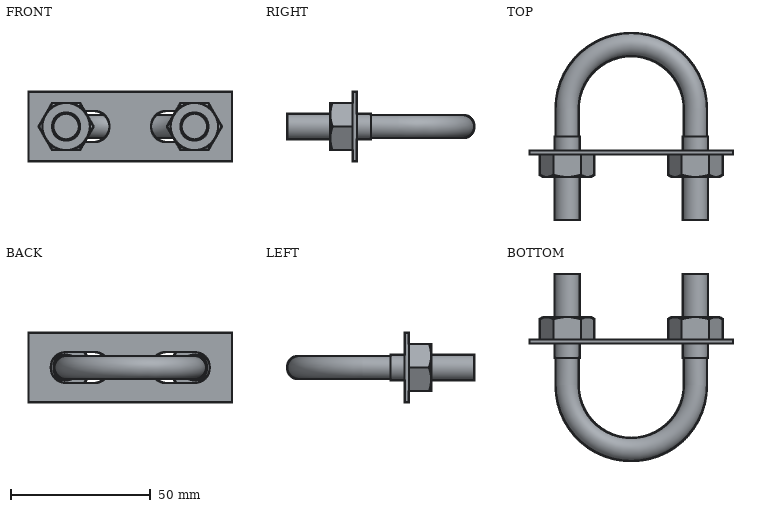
import cadquery as cq
import math

PLATE_LENGTH = 73.0
PLATE_HEIGHT = 25.0
PLATE_THICKNESS = 1.5

LEG_OFFSET = 23.0
THREAD_DIAMETER = 9.2
BEND_DIAMETER = 8.4
THREAD_LENGTH = 30.1
BOLT_LENGTH = 67.15
LEG_PROTRUSION = 23.5

SLOT_WIDTH = 11.0
SLOT_INNER_END = 7.45

NUT_ACROSS_FLATS = 17.0
NUT_HEIGHT = 8.0
NUT_MOUTH_DIAMETER = 10.0
NUT_CHAMFER_ANGLE = 30.0

LEG_SIDES = (-1, 1)
LEG_END_Y = -LEG_PROTRUSION
THREAD_END_Y = LEG_END_Y + THREAD_LENGTH
BEND_CENTER_Y = LEG_END_Y + BOLT_LENGTH - LEG_OFFSET - BEND_DIAMETER / 2


def make_plate():
    """Rectangular strap with one rounded slot for each leg."""
    plate = cq.Workplane("XY").box(
        PLATE_LENGTH, PLATE_THICKNESS, PLATE_HEIGHT, centered=(True, False, True)
    )
    slot_length = LEG_OFFSET + SLOT_WIDTH / 2 - SLOT_INNER_END
    slot_center = SLOT_INNER_END + slot_length / 2
    slots = (
        cq.Workplane("XZ")
        .pushPoints([(side * slot_center, 0) for side in LEG_SIDES])
        .slot2D(slot_length, SLOT_WIDTH)
        .extrude(-PLATE_THICKNESS)
    )
    return plate.cut(slots)


def make_u_bolt():
    """Bent bar with a larger threaded length on each leg."""
    path = (
        cq.Workplane("XY")
        .moveTo(-LEG_OFFSET, THREAD_END_Y)
        .lineTo(-LEG_OFFSET, BEND_CENTER_Y)
        .threePointArc((0, BEND_CENTER_Y + LEG_OFFSET), (LEG_OFFSET, BEND_CENTER_Y))
        .lineTo(LEG_OFFSET, THREAD_END_Y)
    )
    bolt = (
        cq.Workplane("XZ", origin=(-LEG_OFFSET, THREAD_END_Y, 0))
        .circle(BEND_DIAMETER / 2)
        .sweep(path)
    )
    for side in LEG_SIDES:
        thread = (
            cq.Workplane("XZ", origin=(side * LEG_OFFSET, LEG_END_Y, 0))
            .circle(THREAD_DIAMETER / 2)
            .extrude(-THREAD_LENGTH)
        )
        bolt = bolt.union(thread)
    return bolt


def make_nut(x):
    """Hex nut with coned corners and a countersunk bore; two corners point along X."""
    flat_radius = NUT_ACROSS_FLATS / 2
    corner_radius = flat_radius / math.cos(math.pi / 6)
    chamfer_depth = (corner_radius - flat_radius) * math.tan(math.radians(NUT_CHAMFER_ANGLE))
    hexagon = (
        cq.Workplane("XZ")
        .polygon(6, 2 * corner_radius)
        .circle(THREAD_DIAMETER / 2)
        .extrude(NUT_HEIGHT)
    )
    chamfer_envelope = (
        cq.Workplane("XY")
        .lineTo(corner_radius, 0)
        .lineTo(corner_radius, chamfer_depth - NUT_HEIGHT)
        .lineTo(flat_radius, -NUT_HEIGHT)
        .lineTo(0, -NUT_HEIGHT)
        .close()
        .revolve(360, (0, 0, 0), (0, 1, 0))
    )
    mouth_radius = NUT_MOUTH_DIAMETER / 2
    countersink = (
        cq.Workplane("XY")
        .moveTo(0, -NUT_HEIGHT)
        .lineTo(mouth_radius, -NUT_HEIGHT)
        .lineTo(0, mouth_radius - NUT_HEIGHT)
        .close()
        .revolve(360, (0, 0, 0), (0, 1, 0))
    )
    return hexagon.intersect(chamfer_envelope).cut(countersink).translate((x, 0, 0))


plate = make_plate().solids()
u_bolt = make_u_bolt().solids()
nuts = [make_nut(side * LEG_OFFSET).solids() for side in LEG_SIDES]

result = cq.Compound.makeCompound([plate.val(), u_bolt.val(), *[nut.val() for nut in nuts]])